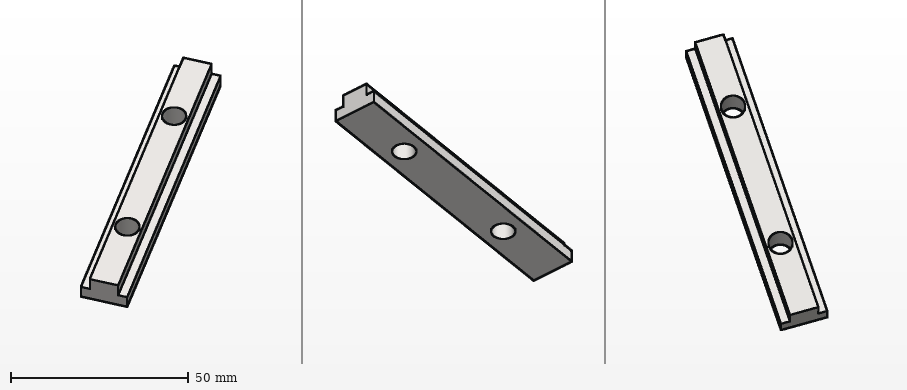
import cadquery as cq

length = 90.0
base_width = 13.7
height = 8.0

base_height = height / 2
rail_width = 8.4

hole_diameter = 6.8
hole_spacing = length / 2


def centred_bar(width, bar_height):
    """Full-length bar centred on X and Y, standing on Z = 0."""
    return cq.Workplane("XY").box(width, length, bar_height, centered=(True, True, False))


base = centred_bar(base_width, base_height)
rail = centred_bar(rail_width, height)

holes = (
    cq.Workplane("XY")
    .rarray(0.9, hole_spacing, 1, 2)
    .circle(hole_diameter / 2)
    .extrude(height)
)

result = base.union(rail).cut(holes)